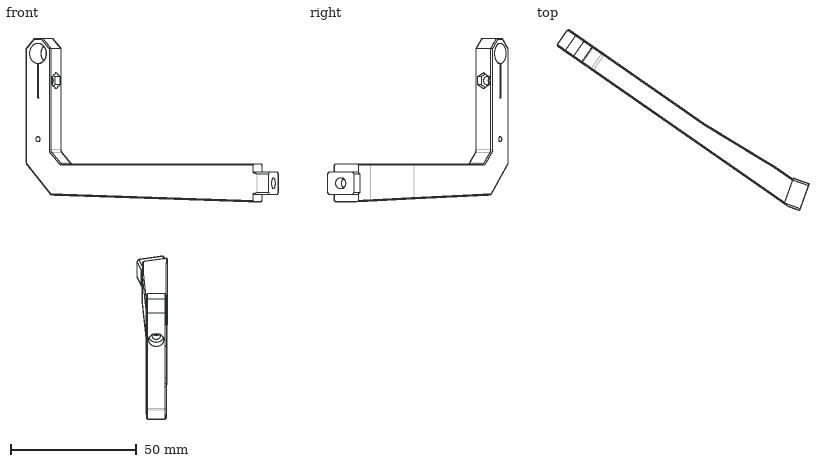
import cadquery as cq
import math


post_width = 12.0
arm_length = 110.2
thickness = 8.0
end_thickness = 10.0
arm_top_z = -49.9
elbow_bottom_z = -62.3
arm_bottom_z = -65.0
top_chamfer = 4.0
inner_chamfer = 5.0
corner_fillet = 1.5
edge_chamfer = 0.5

wedge_start = 66.1
wedge_end = 99.2

axis_u = post_width / 2
bore_diameter = 8.0
bore_z = -6.0
slit_width = 0.6
slit_bottom_z = -23.6
pin_hole_diameter = 2.0
pin_hole_z = -40.1

screw_z = -16.8
screw_diameter = 3.3
head_diameter = 6.0
head_depth = 3.0
nut_flats = 5.5
nut_depth = 2.5

tip_length = 6.7
tip_height = 9.0
tip_z = -57.6
tip_front_overhang = 0.5
tip_width = 11.3
tip_chamfer = 0.8
tip_hole_diameter = 4.3

arm_angle = 34.8
tip_turn = 15.0

back_end_u = arm_length - end_thickness * math.tan(math.radians(tip_turn))


def nearest(u, v, z):
    """Selector for the edge or face closest to a point of the local frame."""
    return cq.selectors.NearestToPointSelector((u, v, z))


def side_profile():
    """Side outline of post and arm at full end thickness, overlong at the arm end."""
    overlong_u = arm_length + end_thickness
    bottom_slope = (arm_bottom_z - elbow_bottom_z) / (arm_length - post_width)
    overlong_bottom_z = elbow_bottom_z + bottom_slope * (overlong_u - post_width)
    inner_corners = [
        (post_width, arm_top_z + inner_chamfer),
        (post_width + inner_chamfer, arm_top_z),
    ]
    outer_corner = (0, arm_top_z)
    blank = (
        cq.Workplane("XZ")
        .polyline([
            (top_chamfer, 0),
            (post_width - top_chamfer, 0),
            (post_width, -top_chamfer),
            *inner_corners,
            (overlong_u, arm_top_z),
            (overlong_u, overlong_bottom_z),
            (post_width, elbow_bottom_z),
            outer_corner,
            (0, -top_chamfer),
        ])
        .close()
        .extrude(-end_thickness)
    )
    for u, z in [*inner_corners, outer_corner]:
        blank = blank.edges(nearest(u, end_thickness / 2, z)).fillet(corner_fillet)
    return blank.faces("<Y").chamfer(edge_chamfer)


def make_body():
    """Post and arm: straight, then a wedge on the back face, then a slanted end."""
    plan = (
        cq.Workplane("XY")
        .polyline([
            (0, 0),
            (arm_length, 0),
            (back_end_u, end_thickness),
            (wedge_end, end_thickness),
            (wedge_start, thickness),
            (0, thickness),
        ])
        .close()
        .extrude(arm_bottom_z - end_thickness)
    )
    body = side_profile().intersect(plan)
    straight_back = body.faces(nearest(wedge_start / 2, thickness, arm_top_z))
    wedge_middle_u = (wedge_start + wedge_end) / 2
    wedge_middle_v = (thickness + end_thickness) / 2
    wedge_back = body.faces(nearest(wedge_middle_u, wedge_middle_v, tip_z))
    back_edges = straight_back.edges("not >X").add(wedge_back.edges("not |Z"))
    return back_edges.chamfer(edge_chamfer)


def make_tip():
    """Block turned against the arm, trimmed flush with the front face, with a hole that stops at the arm."""
    block = (
        cq.Workplane("XY")
        .box(tip_length, tip_width, tip_height, centered=(False, False, True))
        .edges("|X")
        .chamfer(tip_chamfer)
        .faces(">X")
        .workplane(centerOption="CenterOfMass")
        .hole(tip_hole_diameter)
        .translate((0, -tip_front_overhang, 0))
        .rotate((0, 0, 0), (0, 0, 1), tip_turn)
        .translate((arm_length, 0, tip_z))
    )
    trim = (
        cq.Workplane("XY")
        .box(4 * tip_length, tip_width, 2 * tip_height, centered=(True, False, True))
        .translate((arm_length, -tip_width, tip_z))
    )
    return block.cut(trim)


def bore(diameter, z):
    """Round cutter through the post from front to back."""
    front = cq.Workplane("XZ").center(axis_u, z)
    return front.transformed(rotate=(0, 0, -90)).circle(diameter / 2).extrude(-thickness)


def clamp_screw():
    """Cutter for the screw, with a head counterbore on the outer side and a nut pocket inside."""
    outer_side = cq.Workplane("YZ").center(thickness / 2, screw_z)
    shank = outer_side.circle(screw_diameter / 2).extrude(post_width)
    head = outer_side.circle(head_diameter / 2).extrude(head_depth)
    nut = (
        outer_side.workplane(offset=post_width - nut_depth)
        .transformed(rotate=(0, 0, 90))
        .polygon(6, nut_flats / math.cos(math.pi / 6))
        .extrude(nut_depth)
    )
    return shank.union(head).union(nut)


def clamp_slit():
    """Thin cutter from the bore down the post."""
    return (
        cq.Workplane("XY")
        .box(slit_width, thickness, bore_z - slit_bottom_z, centered=(True, False, False))
        .translate((axis_u, 0, slit_bottom_z))
    )


result = (
    make_body()
    .cut(bore(bore_diameter, bore_z))
    .cut(bore(pin_hole_diameter, pin_hole_z))
    .cut(clamp_slit())
    .cut(clamp_screw())
    .union(make_tip())
    .rotate((0, 0, 0), (0, 0, 1), -arm_angle)
)